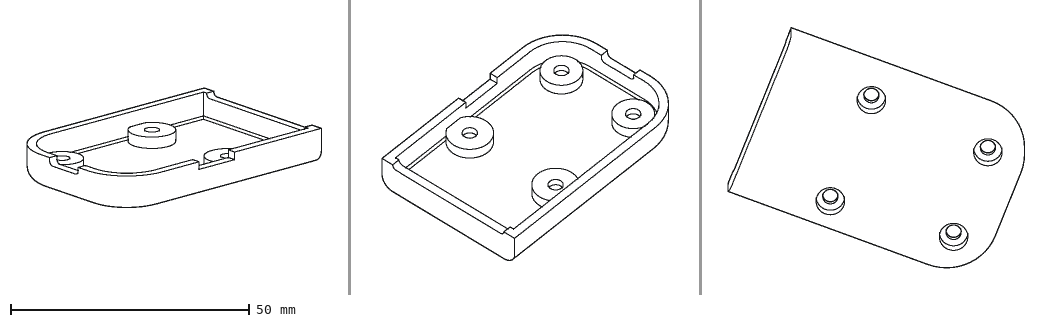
import cadquery as cq

width = 37.0
length = 56.0
height = 7.8
corner_radius = 11.05
bottom_radius = 3.0
wall = 2.0
floor_thickness = 2.0
floor_chamfer = 0.5

boss_height = 2.5
hole_diameter = 3.2
counterbore_diameter = 6.0
counterbore_depth = 3.0
rear_boss_diameter = 10.0
rear_boss_x = 12.0
rear_boss_y = 35.45
front_boss_diameter = 9.0
front_boss_x = 10.0
front_boss_y = 8.45

notch_depth = 1.7
notch_radius = 1.0
front_notch_width = 9.0
rear_notch_width = 31.0
rear_notch_depth = 1.0
side_notch_width = 10.0
side_notch_y = 26.55


def rounded_front_block(x_size, y_start, y_end, radius, z_start, z_end):
    """Upright block, centred on X, with rounded vertical edges at its front."""
    block = cq.Workplane("XY").box(
        x_size, y_end - y_start, z_end - z_start, centered=(True, False, False)
    )
    block = block.edges("|Z and <Y").fillet(radius)
    return block.translate((0, y_start, z_start))


def rim_notch(notch_width, depth, y_start):
    """Cutter for a notch through a front or rear wall, with rounded lower edges."""
    notch = cq.Workplane("XY").box(notch_width, wall, 2 * depth)
    notch = notch.edges("|Y and <Z").fillet(notch_radius)
    return notch.translate((0, y_start + wall / 2, height))


body = rounded_front_block(width, 0, length, corner_radius, 0, height)
body = body.faces("<Z").edges("not >Y").fillet(bottom_radius)

cavity = rounded_front_block(
    width - 2 * wall, wall, length - wall, corner_radius - wall, floor_thickness, height
)
cavity = cavity.faces("<Z").edges().chamfer(floor_chamfer)
body = body.cut(cavity)

boss_rows = [
    (rear_boss_x, rear_boss_y, rear_boss_diameter),
    (front_boss_x, front_boss_y, front_boss_diameter),
]
for boss_x, boss_y, boss_diameter in boss_rows:
    centers = [(-boss_x, boss_y), (boss_x, boss_y)]
    bosses = (
        cq.Workplane("XY")
        .workplane(offset=floor_thickness)
        .pushPoints(centers)
        .circle(boss_diameter / 2)
        .extrude(boss_height)
    )
    holes = cq.Workplane("XY").pushPoints(centers).circle(hole_diameter / 2).extrude(height)
    counterbores = (
        cq.Workplane("XY")
        .pushPoints(centers)
        .circle(counterbore_diameter / 2)
        .extrude(counterbore_depth)
    )
    body = body.union(bosses.intersect(cavity)).cut(holes).cut(counterbores)

body = body.cut(rim_notch(front_notch_width, notch_depth, 0))
body = body.cut(rim_notch(rear_notch_width, rear_notch_depth, length - wall))
side_notch = cq.Workplane("XY").box(wall, side_notch_width, 2 * notch_depth)
body = body.cut(side_notch.translate(((width - wall) / 2, side_notch_y, height)))

result = body